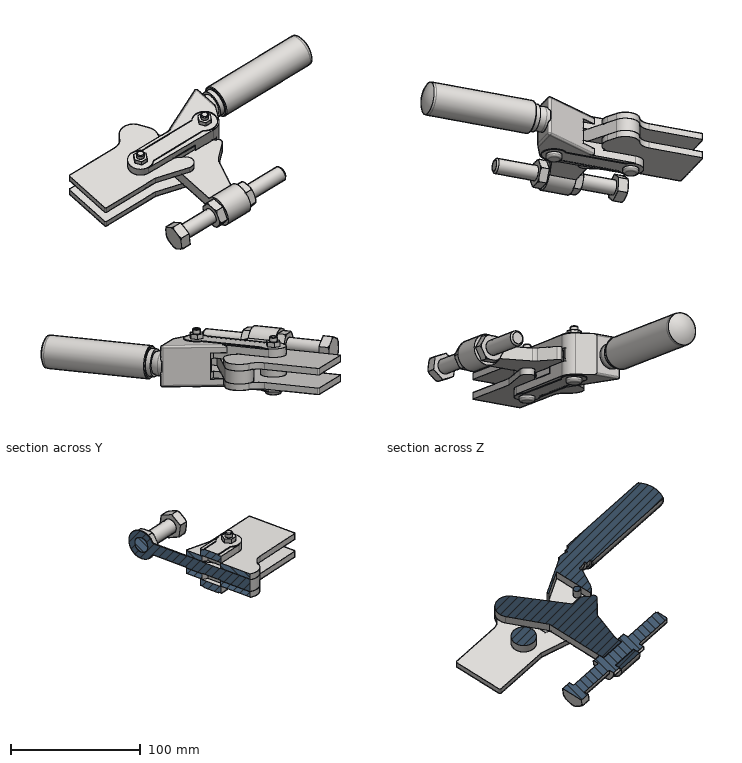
import cadquery as cq
import math


arm_thickness = 10.5
base_width = 21.0
arm_half = arm_thickness / 2
plate_outer = base_width / 2
plate_thickness = plate_outer - arm_half
leg_outer = 16.5
strap_outer = 17.2

pivot_spacing = 64.0
lower_pivot = (0, 0)
upper_pivot = (0, pivot_spacing)
pivots = [lower_pivot, upper_pivot]
bolt_radius = 3.0
bolt_top = 24.5
bolt_chamfer = 0.7
bolt_nut_top = 21.0
bolt_nut_corner_radius = 5.5
bolt_head_radius = 6.3
bolt_head_bottom = -21.0
bolt_head_round = 1.9

lobe_center = (-28.5, 16.5)
lobe_radius = 11.1
lobe_rise = 30
lobe_length = 8.8

plate_left = -27.2
plate_right = 17.5
plate_bottom = -49.2
plate_right_top = 0.5
plate_corner_radius = 1.2
neck_start = -3.7
horn_center = (20.0, 29.5)
horn_radius = 5.8
horn_slope = 57
valley_level = 18.5

arm_bottom = 22.0
arm_lower_rise = 26.6
stop_left = 12.5
stop_radius = 3.0
stop_seat_x = 7.0
stop_seat_y = 59.5
stop_top = 68.0
stop_foot = (29.3, 53.5)
stop_foot_radius = 7.0
boss_x = 67.5
boss_radius = 12.3
boss_top = 44.3

spindle_radius = 6.0
spindle_top = 85.7
spindle_chamfer = 1.5
jam_nut_height = 7.0
jam_nut_corner_radius = 11.1
spindle_head_top = -14.2
spindle_head_height = 8.4
spindle_head_corner_radius = 11.0
spindle_head_turn = 38
spindle_nut_chamfer = 1.0

leg_radius = 10.0
shoulder_radius = 11.1
bracket_top = 81.7
bracket_top_left = -32.0
bracket_top_right = -9.3
wall_foot_y = 34.5
bracket_round = 1.6
slot_top = 46.0
cheek_bottom = 26.7
arm_slot_top = 67.3
wall_depth = 2.0
strap_width = 14.0

grip_x = -22.0
grip_radius = 13.0
grip_bottom = 93.0
grip_top = 177.2
grip_edge = 0.7
dome_radius = 12.8
dome_base = 179.0
dome_top = 183.0
collar_radius = 11.0
collar_bottom = 89.2
neck_top_radius = 8.8
neck_radius = 10.0
neck_bulge = (9.8, 86.4)
neck_straight = 83.5


def polar(center, radius, degrees):
    """Point on a circle."""
    angle = math.radians(degrees)
    return (center[0] + radius * math.cos(angle), center[1] + radius * math.sin(angle))


def direction(start, end):
    """Direction from one point to another, in degrees."""
    return math.degrees(math.atan2(end[1] - start[1], end[0] - start[0]))


def tangent(center_1, radius_1, center_2, radius_2, side):
    """Ends of the outer tangent of two circles, left (+1) or right (-1) of the way from 1 to 2.

    A radius of 0 stands for a point.
    """
    lean = math.degrees(math.acos((radius_1 - radius_2) / math.dist(center_1, center_2)))
    normal = direction(center_1, center_2) + side * lean
    return polar(center_1, radius_1, normal), polar(center_2, radius_2, normal)


def middle(center, radius, start, end):
    """Middle of the shorter arc between two points of a circle."""
    halfway = ((start[0] + end[0]) / 2, (start[1] + end[1]) / 2)
    return polar(center, radius, direction(center, halfway))


def point_at_y(point, degrees, y):
    """Where the line through a point with the given slope reaches the height y."""
    return (point[0] + (y - point[1]) / math.tan(math.radians(degrees)), y)


def point_at_x(point, degrees, x):
    """Where the line through a point with the given slope reaches the place x."""
    return (x, point[1] + (x - point[0]) * math.tan(math.radians(degrees)))


def slab(outline, z_start, z_end):
    """Closed XY outline as a solid between two heights."""
    return outline.close().extrude(z_end - z_start).translate((0, 0, z_start))


def box(x_range, y_range, z_range):
    """Box between two limits on each axis."""
    sizes = [high - low for low, high in (x_range, y_range, z_range)]
    corner = (x_range[0], y_range[0], z_range[0])
    return cq.Workplane("XY").box(*sizes, centered=False).translate(corner)


def disc(center, radius, z_start, z_end):
    """Cylinder along Z."""
    plane = cq.Workplane("XY", origin=(*center, z_start))
    return plane.circle(radius).extrude(z_end - z_start)


def rod(radius, y_start, y_end):
    """Cylinder along the spindle axis."""
    plane = cq.Workplane("XZ", origin=(boss_x, y_end, 0))
    return plane.circle(radius).extrude(y_end - y_start)


def base_plate(z_start):
    """Plate with a lobe on the left, a horn on the right and a hole for the lower bolt."""
    lobe_end = polar(lobe_center, lobe_length, lobe_rise)

    reach_x = plate_left - lobe_center[0]
    reach_y = neck_start - lobe_center[1]
    neck_round = (reach_x**2 + reach_y**2 - lobe_radius**2) / (2 * (lobe_radius + reach_x))
    neck_center = (plate_left - neck_round, neck_start)
    neck_touch = polar(lobe_center, lobe_radius, direction(lobe_center, neck_center))
    neck_end = (plate_left, neck_start)

    lobe_top = polar(lobe_center, lobe_radius, lobe_rise + 90)
    lobe_end_top = polar(lobe_end, lobe_radius, lobe_rise + 90)
    lobe_end_right = polar(lobe_end, lobe_radius, lobe_rise)
    horn_left = polar(horn_center, horn_radius, horn_slope + 90)
    right_corner = (plate_right, plate_right_top)
    _, horn_right = tangent(right_corner, 0, horn_center, horn_radius, -1)

    outline = (
        cq.Workplane("XY")
        .moveTo(plate_left, plate_bottom)
        .lineTo(plate_right, plate_bottom)
        .lineTo(*right_corner)
        .lineTo(*horn_right)
        .threePointArc(middle(horn_center, horn_radius, horn_left, horn_right), horn_left)
        .lineTo(*point_at_y(horn_left, horn_slope, valley_level))
        .lineTo(*point_at_y(lobe_end_right, lobe_rise - 90, valley_level))
        .lineTo(*lobe_end_right)
        .threePointArc(middle(lobe_end, lobe_radius, lobe_end_right, lobe_end_top), lobe_end_top)
        .lineTo(*lobe_top)
        .threePointArc(middle(lobe_center, lobe_radius, lobe_top, neck_touch), neck_touch)
        .threePointArc(middle(neck_center, neck_round, neck_touch, neck_end), neck_end)
    )
    plate = slab(outline, z_start, z_start + plate_thickness)
    plate = plate.faces("<Y").edges("|Z").fillet(plate_corner_radius)
    return plate.cut(disc(lower_pivot, bolt_radius, z_start, z_start + plate_thickness))


def clamping_arm():
    """Flat arm from the lobe to the boss, with a stop beside the upper bolt."""
    lobe_top = polar(lobe_center, lobe_radius, lobe_rise + 90)
    lobe_bottom = polar(lobe_center, lobe_radius, arm_lower_rise - 90)
    lobe_left = (lobe_center[0] - lobe_radius, lobe_center[1])
    stop_center = (stop_left + stop_radius, stop_top - stop_radius)
    stop_start = (stop_left, stop_center[1])
    stop_end, _ = tangent(stop_center, stop_radius, stop_foot, 0, 1)

    outline = (
        cq.Workplane("XY")
        .moveTo(*lobe_bottom)
        .lineTo(*point_at_y(lobe_bottom, arm_lower_rise, arm_bottom))
        .lineTo(boss_x, arm_bottom)
        .lineTo(boss_x, boss_top)
        .lineTo(boss_x - boss_radius, boss_top)
        .lineTo(*stop_foot)
        .lineTo(*stop_end)
        .threePointArc(middle(stop_center, stop_radius, stop_start, stop_end), stop_start)
        .lineTo(stop_seat_x, stop_seat_y)
        .lineTo(*point_at_x(lobe_top, lobe_rise, stop_seat_x))
        .lineTo(*lobe_top)
        .threePointArc(lobe_left, lobe_bottom)
    )
    arm = slab(outline, -arm_half, arm_half)
    foot_edge = cq.NearestToPointSelector((*stop_foot, 0))
    arm = arm.edges("|Z").edges(foot_edge).fillet(stop_foot_radius)
    arm = arm.union(rod(boss_radius, arm_bottom, boss_top))
    return arm.cut(rod(spindle_radius, arm_bottom, boss_top))


def spindle_hex(corner_radius, y_start, height, turn, chamfered_side):
    """Hexagon around the spindle whose corners are turned down on one side ("<Y" or ">Y")."""
    plane = cq.Workplane("XZ", origin=(boss_x, y_start + height, 0))
    hexagon = plane.transformed(rotate=(0, 0, turn)).polygon(6, 2 * corner_radius).extrude(height)
    turned = rod(corner_radius, y_start, y_start + height)
    turned = turned.faces(chamfered_side).chamfer(spindle_nut_chamfer)
    return hexagon.intersect(turned)


def clamping_spindle():
    head_bottom = spindle_head_top - spindle_head_height
    spindle = rod(spindle_radius, spindle_head_top, spindle_top).faces(">Y").chamfer(spindle_chamfer)
    head = spindle_hex(spindle_head_corner_radius, head_bottom, spindle_head_height, spindle_head_turn, "<Y")
    upper_nut = spindle_hex(jam_nut_corner_radius, boss_top, jam_nut_height, 0, ">Y")
    lower_nut = spindle_hex(jam_nut_corner_radius, arm_bottom - jam_nut_height, jam_nut_height, 0, "<Y")
    return spindle.union(head).union(upper_nut).union(lower_nut)


def bracket():
    top_left = (bracket_top_left, bracket_top)
    top_right = (bracket_top_right, bracket_top)
    wall_foot = (-leg_radius, wall_foot_y)
    leg_left = (-leg_radius, lower_pivot[1])
    leg_tip = (lower_pivot[0], lower_pivot[1] - leg_radius)
    leg_right, shoulder_right = tangent(lower_pivot, leg_radius, upper_pivot, shoulder_radius, -1)
    _, shoulder_top = tangent(top_right, 0, upper_pivot, shoulder_radius, 1)
    shoulder_middle = middle(upper_pivot, shoulder_radius, shoulder_top, shoulder_right)

    outline = (
        cq.Workplane("XY")
        .moveTo(*leg_left)
        .threePointArc(leg_tip, leg_right)
        .lineTo(*shoulder_right)
        .threePointArc(shoulder_middle, shoulder_top)
        .lineTo(*top_right)
        .lineTo(*top_left)
        .lineTo(*wall_foot)
    )
    block = slab(outline, -leg_outer, leg_outer)

    wall_middle = ((top_left[0] + wall_foot[0]) / 2, (top_left[1] + wall_foot[1]) / 2)
    top_middle = ((top_left[0] + top_right[0]) / 2, bracket_top)
    bends = block.edges(cq.NearestToPointSelector((*top_left, 0)))
    for x, y in (wall_middle, top_middle):
        for z in (-leg_outer, leg_outer):
            bends = bends.add(block.edges(cq.NearestToPointSelector((x, y, z))))
    block = bends.fillet(bracket_round)

    across = (bracket_top_left, shoulder_radius)
    below = -2 * leg_radius
    block = block.cut(box(across, (below, slot_top), (-plate_outer, plate_outer)))
    cheeks = box((-leg_radius, leg_radius), (cheek_bottom, slot_top), (-plate_outer, plate_outer))
    block = block.union(cheeks)

    block = block.cut(box(across, (below, slot_top), (-arm_half, arm_half)))
    wall_slope = direction(top_left, wall_foot)
    inner_foot = (wall_foot[0] + wall_depth, wall_foot[1])
    upper_slot = (
        cq.Workplane("XY")
        .moveTo(shoulder_radius, slot_top)
        .lineTo(shoulder_radius, arm_slot_top)
        .lineTo(*point_at_y(inner_foot, wall_slope, arm_slot_top))
        .lineTo(*point_at_y(inner_foot, wall_slope, slot_top))
    )
    return block.cut(slab(upper_slot, -arm_half, arm_half))


def straps():
    """Raised bars with round ends on both outer sides of the bracket."""
    rib = (-strap_width / 2, strap_width / 2)
    strap = box(rib, (lower_pivot[1], upper_pivot[1]), (leg_outer, strap_outer))
    for pivot in pivots:
        strap = strap.union(disc(pivot, leg_radius, leg_outer, strap_outer))
    return strap.union(strap.mirror("XY"))


def pivot_bolt(pivot):
    """Bolt with a round head below and a hexagon nut above."""
    shank = disc(pivot, bolt_radius, -strap_outer, bolt_top).faces(">Z").chamfer(bolt_chamfer)
    head = disc(pivot, bolt_head_radius, bolt_head_bottom, -strap_outer)
    head = head.faces("<Z").edges().fillet(bolt_head_round)
    nut = (
        cq.Workplane("XY", origin=(*pivot, strap_outer))
        .transformed(rotate=(0, 0, 30))
        .polygon(6, 2 * bolt_nut_corner_radius)
        .extrude(bolt_nut_top - strap_outer)
    )
    return shank.union(head).union(nut)


def spacer():
    """Sleeve on the lower bolt that keeps the base plates apart."""
    return disc(lower_pivot, leg_radius, -arm_half, arm_half)


def grip():
    """Neck, collar, sleeve and domed end, turned around the grip axis."""
    dome_height = dome_top - dome_base
    dome_curve = (dome_radius**2 + dome_height**2) / (2 * dome_height)
    dome_center = (0, dome_top - dome_curve)
    dome_start = (dome_radius, dome_base)
    dome_end = (0, dome_top)
    profile = (
        cq.Workplane("XY")
        .moveTo(0, bracket_top - bracket_round)
        .lineTo(neck_radius, bracket_top - bracket_round)
        .lineTo(neck_radius, neck_straight)
        .threePointArc(neck_bulge, (neck_top_radius, collar_bottom))
        .lineTo(collar_radius, collar_bottom)
        .lineTo(collar_radius, grip_bottom)
        .lineTo(grip_radius - grip_edge, grip_bottom)
        .lineTo(grip_radius, grip_bottom + grip_edge)
        .lineTo(grip_radius, grip_top)
        .lineTo(*dome_start)
        .threePointArc(middle(dome_center, dome_curve, dome_start, dome_end), dome_end)
        .close()
    )
    return profile.revolve(360, (0, 0), (0, 1)).translate((grip_x, 0, 0))


def clamp_handle():
    handle = bracket().union(straps()).union(spacer()).union(grip())
    for pivot in pivots:
        handle = handle.union(pivot_bolt(pivot))
    return handle


base_plates = [base_plate(z_start).val() for z_start in (-plate_outer, arm_half)]
arm = clamping_arm()
spindle = clamping_spindle()
handle = clamp_handle()

result = cq.Compound.makeCompound([*base_plates, arm.val(), spindle.val(), handle.val()])